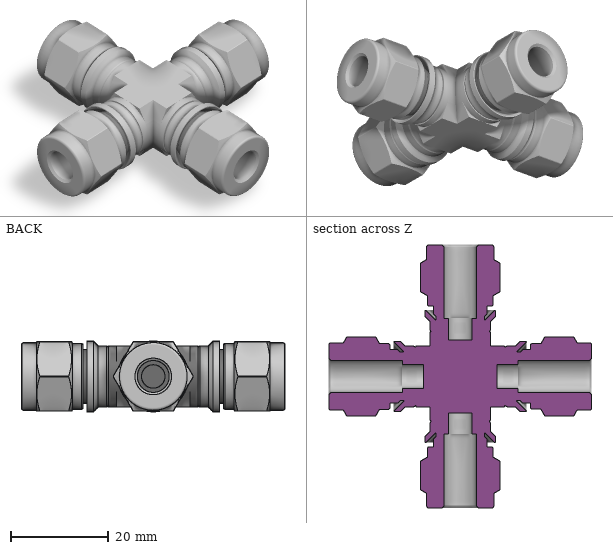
import cadquery as cq
import math


reach = 27.1

block_reach = 7.6
body_diameter = 12.6

groove_inner = 9.15
groove_outer = 9.65
groove_depth = 0.25

flange_diameter = 14.6
flange_inner = 12.3
flange_outer = 13.65
recess_diameter = 14.15

stem_diameter = 10.1
neck_diameter = 11.1
neck_inner = 12.85

nut_inner = 14.4
skirt_diameter = 13.6
skirt_chamfer_length = 0.3
skirt_chamfer_rise = 0.2
hex_inner = 16.6
hex_outer = 24.05
hex_across_flats = 14.3
hex_corner_diameter = 16.4
hex_chamfer_angle = 30.0
collar_diameter = 13.9
collar_fillet = 0.5

tube_bore_diameter = 6.55
tube_bore_depth = 15.2
mouth_chamfer = 0.5
inner_bore_diameter = 4.8

COS_30 = math.cos(math.radians(30))

body_radius = body_diameter / 2
flange_radius = flange_diameter / 2
recess_radius = recess_diameter / 2
stem_radius = stem_diameter / 2
neck_radius = neck_diameter / 2
skirt_radius = skirt_diameter / 2
collar_radius = collar_diameter / 2
tube_bore_radius = tube_bore_diameter / 2
inner_bore_radius = inner_bore_diameter / 2
hex_across_corners = hex_across_flats / COS_30
hex_corner_radius = hex_corner_diameter / 2


def revolve_about_x(points):
    """Revolve a closed outline of (station, radius) points about the X axis."""
    return cq.Workplane("XY").polyline(points).close().revolve(360, (0, 0, 0), (1, 0, 0))


def make_block_bar():
    """Hexagonal bar along X, its front and back corners rounded to the body diameter."""
    bar = (
        cq.Workplane("YZ")
        .polygon(6, body_diameter / COS_30)
        .extrude(block_reach, both=True)
    )
    return bar.edges("|X").edges("<Y or >Y").fillet(body_radius)


def make_turned_arm():
    """Round parts of one arm along +X: body, groove, flange, neck, skirt and collar."""
    flange_rise = flange_radius - body_radius
    outline = (
        cq.Workplane("XY")
        .moveTo(block_reach, 0)
        .lineTo(block_reach, body_radius)
        .lineTo(groove_inner, body_radius)
        .lineTo(groove_inner, body_radius - groove_depth)
        .lineTo(groove_outer, body_radius)
        .lineTo(flange_inner - flange_rise, body_radius)
        .lineTo(flange_inner, flange_radius)
        .lineTo(flange_outer, flange_radius)
        .lineTo(flange_outer, recess_radius)
        .lineTo(flange_outer - (recess_radius - stem_radius), stem_radius)
        .lineTo(neck_inner - (neck_radius - stem_radius), stem_radius)
        .lineTo(neck_inner, neck_radius)
        .lineTo(nut_inner, neck_radius)
        .lineTo(nut_inner, skirt_radius - skirt_chamfer_rise)
        .lineTo(nut_inner + skirt_chamfer_length, skirt_radius)
        .lineTo(hex_outer, skirt_radius)
        .lineTo(hex_outer, collar_radius)
        .lineTo(reach - collar_fillet, collar_radius)
        .radiusArc((reach, collar_radius - collar_fillet), collar_fillet)
        .lineTo(reach, 0)
        .close()
    )
    return outline.revolve(360, (0, 0, 0), (1, 0, 0))


def make_nut_hex():
    """Hexagon with flats facing +Z and -Z, its corners coned off at both ends."""
    slope = math.tan(math.radians(hex_chamfer_angle))
    hexagon = (
        cq.Workplane("YZ")
        .workplane(offset=hex_inner)
        .polygon(6, hex_across_corners)
        .extrude(hex_outer - hex_inner)
    )
    envelope = revolve_about_x([
        (hex_inner, 0),
        (hex_inner, skirt_radius),
        (hex_inner + slope * (hex_corner_radius - skirt_radius), hex_corner_radius),
        (hex_outer - slope * (hex_corner_radius - collar_radius), hex_corner_radius),
        (hex_outer, collar_radius),
        (hex_outer, 0),
    ])
    return hexagon.intersect(envelope)


def make_bore():
    """Blind stepped bore: chamfered mouth, tube socket, then a narrower bore to the block."""
    socket_floor = reach - tube_bore_depth
    return revolve_about_x([
        (block_reach, 0),
        (block_reach, inner_bore_radius),
        (socket_floor, inner_bore_radius),
        (socket_floor, tube_bore_radius),
        (reach - mouth_chamfer, tube_bore_radius),
        (reach, tube_bore_radius + mouth_chamfer),
        (reach, 0),
    ])


def turn_about_z(shape, angle):
    return shape.rotate((0, 0, 0), (0, 0, 1), angle)


block_bar = make_block_bar()
arm = make_turned_arm().union(make_nut_hex())
bore = make_bore()

result = block_bar.union(turn_about_z(block_bar, 90))
for angle in (0, 90, 180, 270):
    result = result.union(turn_about_z(arm, angle))
for angle in (0, 90, 180, 270):
    result = result.cut(turn_about_z(bore, angle))